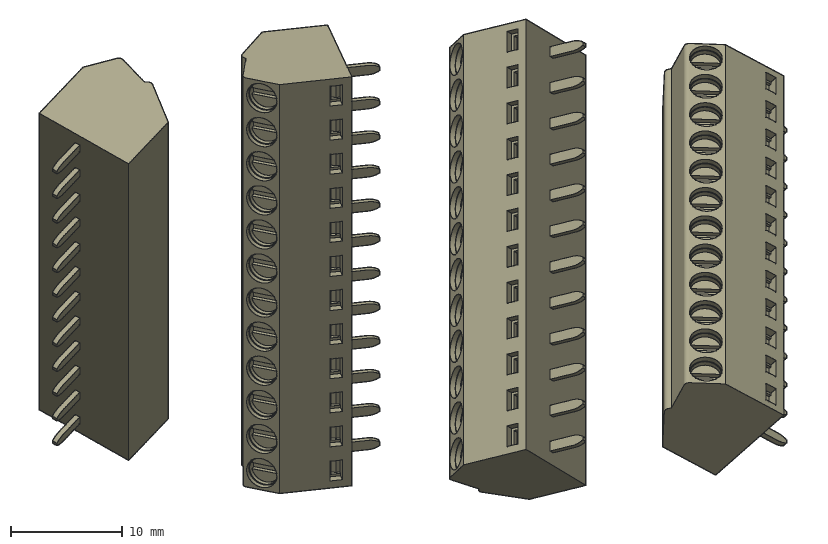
import cadquery as cq
import math

pole_count = 12
length = 42.0
pitch = length / pole_count
pole_heights = [(i + 0.5) * pitch for i in range(pole_count)]

width = 10.0
left_height = 6.68
right_height = 6.05
ridge = (2.05, 9.6)
ridge_radius = 0.5
valley = (5.45, 8.55)
rib_crest = (6.0, 8.95)
rib_radius = 0.5

pin_length = 3.5
pin_x = 4.3
pin_thickness = 0.5
pin_width = 0.95
tip_length = 1.05
tip_width = 0.35

well_y = 8.1
well_radius = 1.45
well_depth = 0.5
screw_radius = 1.4
screw_depth = 0.95
slot_width = 0.65
slot_depth = 0.4

window_bottom = 0.9
window_width = 1.15
window_height = 2.0
window_depth = 0.75
window_ledge = 0.25
ramp_width = 0.5
ramp_drop = 0.25

overlap = 0.4


def make_housing():
    outline = [
        (0, 0), (width, 0), (width, right_height),
        rib_crest, valley, ridge, (0, left_height),
    ]
    body = cq.Workplane("XY").polyline(outline).close().extrude(length)

    def round_edge(solid, corner, radius):
        picker = cq.selectors.NearestToPointSelector((*corner, length / 2))
        return solid.edges("|Z").edges(picker).fillet(radius)

    body = round_edge(body, ridge, ridge_radius)
    return round_edge(body, rib_crest, rib_radius)


def make_pin(z):
    """Flat pin with a tip narrowed by two arcs that run on from its sides."""
    tip_start = -(pin_length - tip_length)
    upper_half = (
        cq.Workplane("YZ", origin=(pin_x, 0, z))
        .moveTo(overlap, 0)
        .lineTo(overlap, pin_width / 2)
        .lineTo(tip_start, pin_width / 2)
        .tangentArcPoint((-pin_length, tip_width / 2), relative=False)
        .lineTo(-pin_length, 0)
        .close()
        .extrude(pin_thickness / 2, both=True)
    )
    return upper_half.union(upper_half.mirror("XY", (0, 0, z)))


def make_screw_well(z):
    """Well with a screw head at its floor; the driver slot spans the head."""
    ridge_x, ridge_y = ridge
    slope = math.atan2(ridge_y - left_height, ridge_x)
    well_x = (well_y - left_height) / math.tan(slope)
    inward = (math.sin(slope), -math.cos(slope), 0)
    face = cq.Plane(origin=(well_x, well_y, z), xDir=(0, 0, 1), normal=inward)

    def bore(radius, depth):
        return (
            cq.Workplane(face).workplane(offset=-overlap)
            .circle(radius).extrude(depth + overlap)
        )

    slot_floor = screw_depth + slot_depth
    slot = cq.Workplane(face).rect(slot_width, 2 * well_radius).extrude(slot_floor)
    slot = slot.intersect(bore(screw_radius, slot_floor))
    return bore(well_radius, well_depth).union(bore(screw_radius, screw_depth)).union(slot)


def make_window(z):
    """Shallow rectangular window with a deeper ramped recess inside its ledge."""
    window_top = window_bottom + window_width
    recess_top = window_top - window_ledge
    recess_height = window_height - 2 * window_ledge
    ramp_start = recess_top - ramp_width
    recess_depth = window_depth + ramp_drop
    opening = (
        cq.Workplane("XY", origin=(0, 0, z - window_height / 2))
        .moveTo(-overlap, window_bottom)
        .lineTo(window_depth, window_bottom)
        .lineTo(window_depth, window_top)
        .lineTo(-overlap, window_top)
        .close()
        .extrude(window_height)
    )
    recess = (
        cq.Workplane("XY", origin=(0, 0, z - recess_height / 2))
        .moveTo(0, window_bottom)
        .lineTo(recess_depth, window_bottom)
        .lineTo(recess_depth, ramp_start)
        .lineTo(recess_depth + ramp_drop, recess_top)
        .lineTo(0, recess_top)
        .close()
        .extrude(recess_height)
    )
    return opening.union(recess)


result = make_housing()
for z in pole_heights:
    result = result.cut(make_screw_well(z)).cut(make_window(z)).union(make_pin(z))